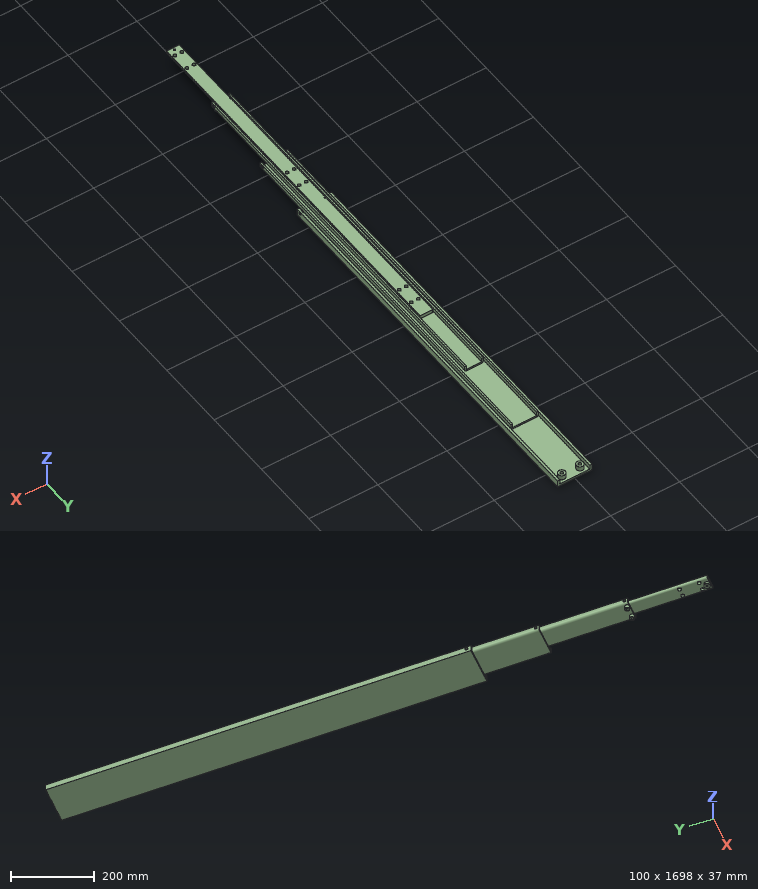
import cadquery as cq

total_length = 1698.0
total_height = 37.0
back_end = total_length / 2
front_end = -total_length / 2

base_width = 100.0
base_height = 20.0
base_wall = 7.0
base_floor = 7.0
base_length = 1100.0

post_diameter = 20.0
post_bore = 8.0
post_spacing = 53.0
post_inset = 17.0

channel_height = 17.0
channel_bend = 7.0
channel_wall = 5.0
channel_floor = 5.0
channel_step = 10.0

middle_width = 80.0
middle_back = 637.0
middle_length = 1060.0

upper_width = 55.0
upper_back = 423.0
upper_length = 1070.0

slider_width = 37.0
slider_height = 10.0
slider_bend = 5.0
slider_length = 1071.0

slider_hole_diameter = 8.0
slider_hole_spacing = 20.0
slider_hole_inset = 50.0
slider_groups = 3
slider_group_pitch = 474.0
slider_pair_pitch = 51.0
slider_pairs = 2

side_hole_diameter = 7.0
base_side_hole_inset = 12.0
base_side_hole_height = 14.0
side_hole_inset = 8.0
side_hole_rise = 10.0

upper_pin_diameter = 12.0
upper_pin_bore = 5.0
upper_pin_spacing = 30.0
slider_pin_diameter = 15.0
slider_pin_bore = 5.0

upper_bottom = total_height - channel_height
middle_bottom = upper_bottom - channel_step
slider_bottom = total_height - slider_height


def bar(width, height, back, length, bottom):
    """Square bar along Y whose back end lies at Y = back."""
    return cq.Workplane("XY", origin=(0, back - length, bottom)).box(
        width, length, height, centered=(True, False, False)
    )


def roll_lower_corners(body, radius):
    return body.edges("|Y and <Z").fillet(radius)


def hollow(body, width, wall, floor, back, length, bottom):
    """Cut the open-topped trough that turns a bar into a channel."""
    trough = bar(width - 2 * wall, total_height, back, length, bottom + floor)
    return body.cut(trough)


def cut_side_holes(body, y, z):
    """Drill one round hole across both side walls."""
    drill = cq.Workplane("YZ", origin=(0, y, z)).circle(side_hole_diameter / 2)
    return body.cut(drill.extrude(base_width, both=True))


def round_bars(points, diameter, bottom, top):
    """Upright cylinders at the given (x, y) points, for posts and pins as well as for drilling."""
    circles = cq.Workplane("XY", origin=(0, 0, bottom)).pushPoints(points).circle(diameter / 2)
    return circles.extrude(top - bottom)


def mirrored_pair(spacing, y):
    return [(-spacing / 2, y), (spacing / 2, y)]


def make_base():
    front = back_end - base_length
    rail = bar(base_width, base_height, back_end, base_length, 0)
    rail = hollow(rail, base_width, base_wall, base_floor, back_end, base_length, 0)
    rail = cut_side_holes(rail, front + base_side_hole_inset, base_side_hole_height)
    post_points = mirrored_pair(post_spacing, back_end - post_inset)
    posts = round_bars(post_points, post_diameter, 0, base_height)
    bores = round_bars(post_points, post_bore, base_floor, base_height)
    return rail.union(posts).cut(bores)


def make_channel(width, back, length, bottom):
    """Channel with rolled lower corners and a cross hole near its front end."""
    rail = roll_lower_corners(bar(width, channel_height, back, length, bottom), channel_bend)
    rail = hollow(rail, width, channel_wall, channel_floor, back, length, bottom)
    return cut_side_holes(rail, back - length + side_hole_inset, bottom + side_hole_rise)


def make_middle():
    return make_channel(middle_width, middle_back, middle_length, middle_bottom)


def make_upper():
    rail = make_channel(upper_width, upper_back, upper_length, upper_bottom)
    pin_y = upper_back - upper_length + upper_pin_diameter / 2
    pin_points = mirrored_pair(upper_pin_spacing, pin_y)
    pins = round_bars(pin_points, upper_pin_diameter, middle_bottom, upper_bottom + channel_floor)
    bores = round_bars(pin_points, upper_pin_bore, middle_bottom, upper_bottom + channel_floor)
    return rail.union(pins).cut(bores)


def slider_hole_points():
    first_y = front_end + slider_length - slider_hole_inset
    points = []
    for group in range(slider_groups):
        for pair in range(slider_pairs):
            y = first_y - group * slider_group_pitch - pair * slider_pair_pitch
            points += mirrored_pair(slider_hole_spacing, y)
    return points


def make_slider():
    back = front_end + slider_length
    rail = bar(slider_width, slider_height, back, slider_length, slider_bottom)
    rail = roll_lower_corners(rail, slider_bend)
    pin_point = [(0, front_end + slider_pin_diameter / 2)]
    pin = round_bars(pin_point, slider_pin_diameter, upper_bottom, total_height)
    bore = round_bars(pin_point, slider_pin_bore, upper_bottom, total_height)
    holes = round_bars(slider_hole_points(), slider_hole_diameter, slider_bottom, total_height)
    return rail.union(pin).cut(bore).cut(holes)


base = make_base()
middle = make_middle()
upper = make_upper()
slider = make_slider()

result = cq.Compound.makeCompound([base.val(), middle.val(), upper.val(), slider.val()])